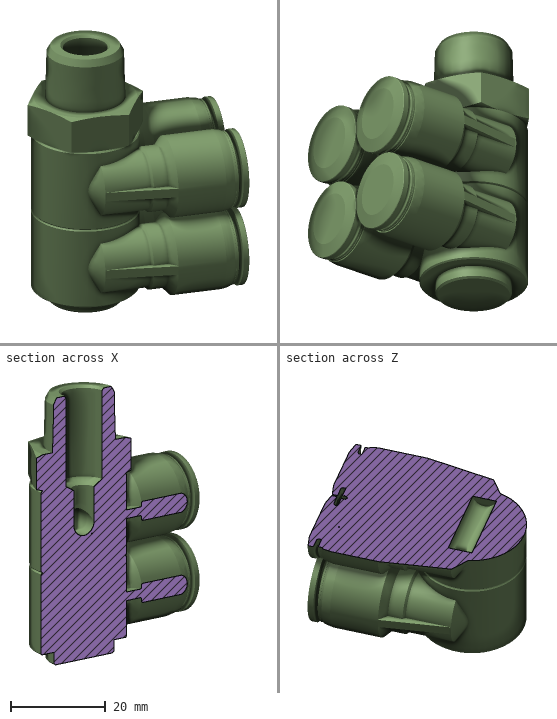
import cadquery as cq
import math

TOTAL_HEIGHT = 58.6

STUB_DIAMETER = 16.1
STUB_HEIGHT = 2.8
STUB_CHAMFER = 0.4

BODY_COUNT = 2
BODY_DIAMETER = 23.0
BODY_HEIGHT = 18.0
BODY_CHAMFER = 0.3

NUT_SIDES = 6
NUT_ACROSS_FLATS = 22.0
NUT_HEIGHT = 7.95
NUT_CHAMFER_ANGLE = 15.0

THREAD_BASE_DIAMETER = 17.0
THREAD_TIP_DIAMETER = 16.4
THREAD_END_DIAMETER = 14.7
THREAD_TIP_HEIGHT = 1.45

BORE_DIAMETER = 9.5
BORE_CHAMFER = 0.5
BORE_DEPTH = 19.9
PASSAGE_DIAMETER = 5.3
BORE_CONE_ANGLE = 59.0

BRANCH_OFFSET = 8.5
BRANCH_CONE_DEPTH = 4.6
BARREL_DIAMETER = 12.95
BARREL_END = 10.0
BAND_DIAMETER = 14.0
BAND_START = 10.55
BAND_END = 13.8
SLEEVE_DIAMETER = 17.5
SLEEVE_START = 15.4
SLEEVE_CROWN_START = 25.95
SLEEVE_CROWN_BULGE = 0.05
SLEEVE_MOUTH_DIAMETER = 16.8
SLEEVE_END = 27.95
RING_DIAMETER = 16.3
RING_END = 28.95
RING_CHAMFER = 0.1
SEAM_START = 28.3
SEAM_WIDTH = 0.2
SEAM_DEPTH = 0.1
NECK_DIAMETER = 11.4
NECK_FLARE_START = 29.55
NECK_FLARE = 0.3
COLLAR_DIAMETER = 16.8
COLLAR_START = 29.8
COLLAR_RIM_END = 31.0
COLLAR_RIM_CHAMFER = 0.1
COLLAR_FACE_DIAMETER = 11.15
BRANCH_END = 31.7

WEB_THICKNESS = 2.0

bodies_top = STUB_HEIGHT + BODY_COUNT * BODY_HEIGHT
nut_top = bodies_top + NUT_HEIGHT
branch_levels = [STUB_HEIGHT + (i + 0.5) * BODY_HEIGHT for i in range(BODY_COUNT)]


def cylinder(diameter, bottom, height):
    """Vertical cylinder on the stem axis."""
    return cq.Workplane("XY").workplane(offset=bottom).circle(diameter / 2).extrude(height)


def make_stub():
    return cylinder(STUB_DIAMETER, 0, bodies_top).faces("<Z").chamfer(STUB_CHAMFER)


def make_body(level):
    body = cylinder(BODY_DIAMETER, level - BODY_HEIGHT / 2, BODY_HEIGHT)
    return body.faces("<Z or >Z").chamfer(BODY_CHAMFER)


def make_nut():
    corner_radius = NUT_ACROSS_FLATS / math.sqrt(3)
    flat_radius = NUT_ACROSS_FLATS / 2
    bevel_height = (corner_radius - flat_radius) * math.tan(math.radians(NUT_CHAMFER_ANGLE))
    hexagon = (
        cq.Workplane("XY")
        .polygon(NUT_SIDES, 2 * corner_radius)
        .extrude(NUT_HEIGHT)
        .rotate((0, 0, 0), (0, 0, 1), 180 / NUT_SIDES)
    )
    bevelled_disc = (
        cq.Workplane("XZ")
        .moveTo(0, 0)
        .lineTo(flat_radius, 0)
        .lineTo(corner_radius, bevel_height)
        .lineTo(corner_radius, NUT_HEIGHT - bevel_height)
        .lineTo(flat_radius, NUT_HEIGHT)
        .lineTo(0, NUT_HEIGHT)
        .close()
        .revolve(360, (0, 0, 0), (0, 1, 0))
    )
    return hexagon.intersect(bevelled_disc).translate((0, 0, bodies_top))


def make_thread():
    return (
        cq.Workplane("XZ")
        .moveTo(0, nut_top)
        .lineTo(THREAD_BASE_DIAMETER / 2, nut_top)
        .lineTo(THREAD_TIP_DIAMETER / 2, TOTAL_HEIGHT - THREAD_TIP_HEIGHT)
        .lineTo(THREAD_END_DIAMETER / 2, TOTAL_HEIGHT)
        .lineTo(0, TOTAL_HEIGHT)
        .close()
        .revolve(360, (0, 0, 0), (0, 1, 0))
    )


def make_branch():
    """Stepped push-in branch, turned about the Y axis."""
    barrel = BARREL_DIAMETER / 2
    band = BAND_DIAMETER / 2
    sleeve = SLEEVE_DIAMETER / 2
    mouth = SLEEVE_MOUTH_DIAMETER / 2
    ring = RING_DIAMETER / 2
    seam = ring - SEAM_DEPTH
    neck = NECK_DIAMETER / 2
    collar = COLLAR_DIAMETER / 2
    crown_middle = (
        (sleeve + mouth) / 2 + SLEEVE_CROWN_BULGE,
        (SLEEVE_CROWN_START + SLEEVE_END) / 2,
    )
    collar_rim_top = COLLAR_RIM_END + COLLAR_RIM_CHAMFER
    return (
        cq.Workplane("XY")
        .moveTo(0, -BRANCH_CONE_DEPTH)
        .lineTo(barrel, 0)
        .lineTo(barrel, BARREL_END)
        .lineTo(band, BAND_START)
        .lineTo(band, BAND_END)
        .lineTo(sleeve, SLEEVE_START)
        .lineTo(sleeve, SLEEVE_CROWN_START)
        .threePointArc(crown_middle, (mouth, SLEEVE_END))
        .lineTo(ring, SLEEVE_END)
        .lineTo(ring, SEAM_START)
        .lineTo(seam, SEAM_START)
        .lineTo(seam, SEAM_START + SEAM_WIDTH)
        .lineTo(ring, SEAM_START + SEAM_WIDTH)
        .lineTo(ring, RING_END - RING_CHAMFER)
        .lineTo(ring - RING_CHAMFER, RING_END)
        .lineTo(neck, RING_END)
        .lineTo(neck, NECK_FLARE_START)
        .lineTo(neck + NECK_FLARE, COLLAR_START)
        .lineTo(collar, COLLAR_START)
        .lineTo(collar, COLLAR_RIM_END)
        .lineTo(collar - COLLAR_RIM_CHAMFER, collar_rim_top)
        .lineTo(COLLAR_FACE_DIAMETER / 2, BRANCH_END)
        .lineTo(0, BRANCH_END)
        .close()
        .revolve(360, (0, 0, 0), (0, 1, 0))
    )


def make_web():
    """Flat plate whose slanted edges run from the sleeves to the barrel ends."""
    wide = BRANCH_OFFSET + SLEEVE_DIAMETER / 2
    barrel_reach = math.sqrt((BARREL_DIAMETER / 2) ** 2 - (WEB_THICKNESS / 2) ** 2)
    narrow = BRANCH_OFFSET + barrel_reach
    return (
        cq.Workplane("XY")
        .moveTo(-narrow, 0)
        .lineTo(narrow, 0)
        .lineTo(wide, SLEEVE_START)
        .lineTo(-wide, SLEEVE_START)
        .close()
        .extrude(WEB_THICKNESS / 2, both=True)
    )


def make_passages():
    """Chamfered bore narrowing through a cone to a passage that ends in a cross bore."""
    bore = BORE_DIAMETER / 2
    passage = PASSAGE_DIAMETER / 2
    bore_bottom = TOTAL_HEIGHT - BORE_DEPTH
    cone_bottom = bore_bottom - (bore - passage) / math.tan(math.radians(BORE_CONE_ANGLE))
    cross_level = max(branch_levels)
    vertical = (
        cq.Workplane("XZ")
        .moveTo(0, cross_level)
        .lineTo(passage, cross_level)
        .lineTo(passage, cone_bottom)
        .lineTo(bore, bore_bottom)
        .lineTo(bore, TOTAL_HEIGHT - BORE_CHAMFER)
        .lineTo(bore + BORE_CHAMFER, TOTAL_HEIGHT)
        .lineTo(0, TOTAL_HEIGHT)
        .close()
        .revolve(360, (0, 0, 0), (0, 1, 0))
    )
    cross = (
        cq.Workplane("YZ")
        .center(0, cross_level)
        .circle(passage)
        .extrude(BRANCH_OFFSET, both=True)
    )
    return vertical.union(cross)


result = make_stub().union(make_nut()).union(make_thread())

branch = make_branch()
web = make_web()
for branch_level in branch_levels:
    result = result.union(make_body(branch_level))
    for side in (-1, 1):
        result = result.union(branch.translate((side * BRANCH_OFFSET, 0, branch_level)))
    result = result.union(web.translate((0, 0, branch_level)))

result = result.cut(make_passages())